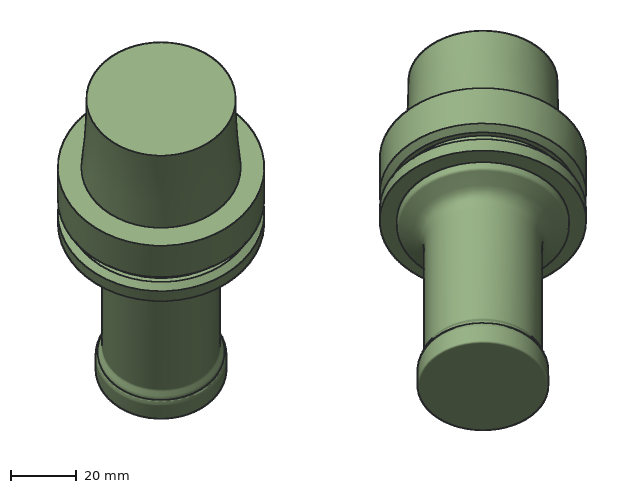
import cadquery as cq
import math


overall_length = 126.9

shank_height = 32.0
shank_top_radius = 22.75
shank_base_radius = 24.3

flange_radius = 62.94 / 2
flange_bottom_z = -26.0
groove_floor_radius = 54.95 / 2
groove_center_z = -18.0
groove_mouth_width = 6.6
groove_floor_width = 3.75
groove_flank_angle = math.radians(30)

collar_radius = 52.5 / 2
collar_edge_round = 1.2
collar_edge_z = -27.8
transition_angle = math.radians(27)
transition_knee = (19.75, -31.9)
transition_end_z = -37.0

neck_radius = 36.0 / 2
flare_angle = math.radians(30)
flare_root_round = 1.5
rim_round = 2.6
rim_radius = 19.35
seam_z = -86.45

nut_radius = 20.0
nut_shoulder = (19.75, -87.1)
nut_shoulder_foot = (19.95, -88.0)
nut_bottom_z = shank_height - overall_length
nut_bottom_round = 0.6

STRAIGHT_DOWN = (0, -1)


def arc_point(center_r, center_z, radius, angle):
    """Point on a circle in the (radius, Z) plane, angle measured from the outward direction."""
    return (center_r + radius * math.cos(angle), center_z + radius * math.sin(angle))


def build_holder():
    """Shank, flange, collar, neck and flared rim, turned from one outline."""
    widening = shank_base_radius - shank_top_radius
    shank_arc_radius = (shank_height**2 + widening**2) / (2 * widening)
    shank_sweep = math.asin(shank_height / shank_arc_radius)
    shank_arc_middle = arc_point(
        shank_top_radius + shank_arc_radius, shank_height, shank_arc_radius, math.pi + shank_sweep / 2
    )

    flank_height = (groove_mouth_width - groove_floor_width) / 2
    flank_foot_radius = flange_radius - flank_height / math.tan(groove_flank_angle)
    mouth_top_z = groove_center_z + groove_mouth_width / 2
    floor_top_z = groove_center_z + groove_floor_width / 2
    floor_bottom_z = groove_center_z - groove_floor_width / 2
    mouth_bottom_z = groove_center_z - groove_mouth_width / 2

    collar_sweep = math.pi / 2 - transition_angle
    collar_arc = (collar_radius - collar_edge_round, collar_edge_z, collar_edge_round)
    collar_arc_middle = arc_point(*collar_arc, -collar_sweep / 2)
    collar_arc_end = arc_point(*collar_arc, -collar_sweep)
    transition_start_direction = (-math.cos(transition_angle), -math.sin(transition_angle))
    transition_end = (neck_radius, transition_end_z)

    rim_arc = (rim_radius - rim_round, seam_z, rim_round)
    rim_arc_middle = arc_point(*rim_arc, flare_angle / 2)
    rim_arc_start = arc_point(*rim_arc, flare_angle)
    root_arc_end_radius = neck_radius + flare_root_round * (1 - math.cos(flare_angle))
    root_arc_end_z = rim_arc_start[1] + (rim_arc_start[0] - root_arc_end_radius) / math.tan(flare_angle)
    flare_start_z = root_arc_end_z + flare_root_round * math.sin(flare_angle)
    root_arc = (neck_radius + flare_root_round, flare_start_z, flare_root_round)
    root_arc_middle = arc_point(*root_arc, math.pi + flare_angle / 2)

    outline = (
        cq.Workplane("XZ")
        .moveTo(0, seam_z)
        .lineTo(0, shank_height)
        .lineTo(shank_top_radius, shank_height)
        .threePointArc(shank_arc_middle, (shank_base_radius, 0))
        .lineTo(flange_radius, 0)
        .lineTo(flange_radius, mouth_top_z)
        .lineTo(flank_foot_radius, floor_top_z)
        .lineTo(groove_floor_radius, floor_top_z)
        .lineTo(groove_floor_radius, floor_bottom_z)
        .lineTo(flank_foot_radius, floor_bottom_z)
        .lineTo(flange_radius, mouth_bottom_z)
        .lineTo(flange_radius, flange_bottom_z)
        .lineTo(collar_radius, flange_bottom_z)
        .lineTo(collar_radius, collar_edge_z)
        .threePointArc(collar_arc_middle, collar_arc_end)
        .spline(
            [transition_knee, transition_end],
            tangents=[transition_start_direction, STRAIGHT_DOWN],
            includeCurrent=True,
        )
        .lineTo(neck_radius, flare_start_z)
        .threePointArc(root_arc_middle, (root_arc_end_radius, root_arc_end_z))
        .lineTo(*rim_arc_start)
        .threePointArc(rim_arc_middle, (rim_radius, seam_z))
        .close()
    )
    return outline.revolve(360, (0, 0, 0), (0, 1, 0))


def build_nut():
    """Round nut that swells smoothly from the rim to its full radius, with a rounded bottom edge."""
    bottom_arc = (nut_radius - nut_bottom_round, nut_bottom_z + nut_bottom_round, nut_bottom_round)
    side_end = (nut_radius, bottom_arc[1])
    bottom_arc_middle = arc_point(*bottom_arc, -math.pi / 4)
    bottom_arc_end = arc_point(*bottom_arc, -math.pi / 2)

    outline = (
        cq.Workplane("XZ")
        .moveTo(0, seam_z)
        .lineTo(rim_radius, seam_z)
        .spline(
            [nut_shoulder, nut_shoulder_foot, side_end],
            tangents=[STRAIGHT_DOWN, STRAIGHT_DOWN],
            includeCurrent=True,
        )
        .threePointArc(bottom_arc_middle, bottom_arc_end)
        .lineTo(0, nut_bottom_z)
        .close()
    )
    return outline.revolve(360, (0, 0, 0), (0, 1, 0))


holder = build_holder()
nut = build_nut()

result = cq.Compound.makeCompound([holder.val(), nut.val()])